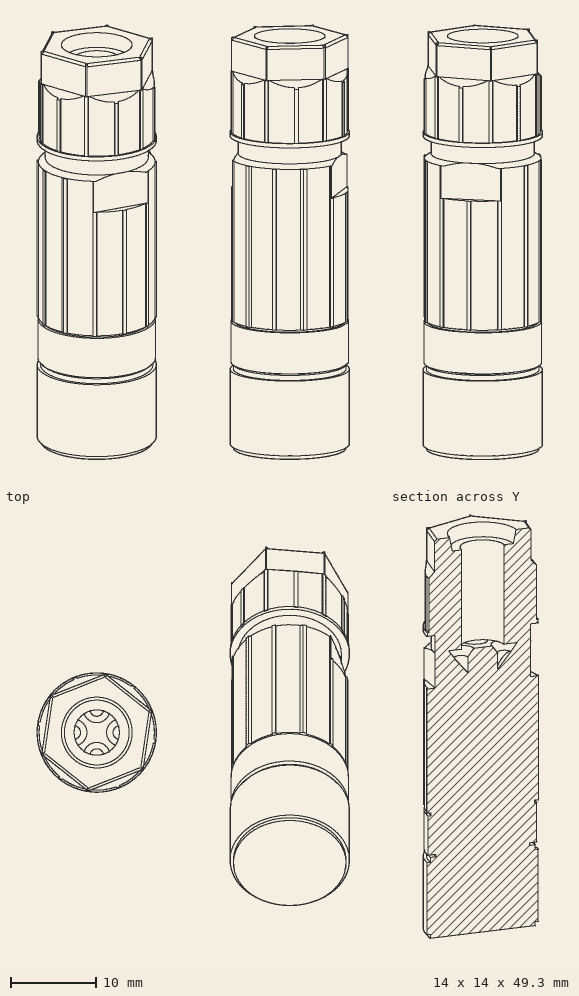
import cadquery as cq
import math

TOTAL_HEIGHT = 49.29
FOOT_TOP = 0.5
SLEEVE_TOP = 9.45
LIP_TOP = 10.05
RING_BOTTOM = 10.3
RING_TOP = 15.2
BODY_BOTTOM = 15.5
BODY_TOP = 34.75
NECK_BOTTOM = 35.25
COLLAR_BOTTOM = 37.35
COLLAR_TOP = 37.85
HEX_BOTTOM = 45.28

OUTER_RADIUS = 7.0
LIP_RADIUS = 6.6
RING_RADIUS = 6.9
LOWER_GROOVE_RADIUS = 5.9
UPPER_GROOVE_RADIUS = 6.5
NECK_RADIUS = 6.05
RIB_HEIGHT = 0.15
BODY_RADIUS = OUTER_RADIUS - RIB_HEIGHT
NUT_RIB_RADIUS = 6.9
NUT_RADIUS = NUT_RIB_RADIUS - RIB_HEIGHT

RIB_COUNT = 12
RIB_PITCH = 360 / RIB_COUNT
RIB_WIDTH = 0.45

FLAT_DISTANCE = 6.0
FLAT_BOTTOM = 30.9

RING_FLAT_WIDTH = 2.8
RING_FLAT_ANGLE = 175.4

NUT_TURN = -8.4
HEX_SIDES = 6
HEX_PITCH = 360 / HEX_SIDES
HALF_SECTOR = math.radians(HEX_PITCH / 2)
HEX_APOTHEM = 6.0
HEX_CORNER_BREAK = 0.1
CORNER_WIDTH = 2 * HEX_CORNER_BREAK * math.cos(HALF_SECTOR)
HEX_TOP_CHAMFER = 0.3
SHOULDER_DROP = 0.95

ENTRY_TOP_RADIUS = 4.15
ENTRY_FLOOR_RADIUS = 3.8
ENTRY_DEPTH = 1.7
BORE_RADIUS = 2.65
BORE_FLOOR = NECK_BOTTOM
WIRE_HOLE_COUNT = 4
WIRE_HOLE_OFFSET = 2.7
WIRE_HOLE_RADIUS = 0.8
WIRE_FUNNEL_RADIUS = 1.55
WIRE_FUNNEL_DEPTH = 1.0
WIRE_FLOOR_TILT = 50


def turned(profile):
    """Revolve (radius, height) points, closed along the axis, about Z."""
    return cq.Workplane("XZ").polyline(profile).close().revolve(360, (0, 0), (0, 1))


def prism(points, bottom, top):
    return cq.Workplane("XY").workplane(offset=bottom).polyline(points).close().extrude(top - bottom)


def disc(radius, bottom, top):
    return cq.Workplane("XY").workplane(offset=bottom).circle(radius).extrude(top - bottom)


def rib(angle, tip_radius, bottom, top, width=RIB_WIDTH):
    """Straight rib with parallel sides, reaching out from the axis along the given angle."""
    bar = cq.Workplane("XY").box(tip_radius, width, top - bottom, centered=(False, True, False))
    return bar.translate((0, 0, bottom)).rotate((0, 0, 0), (0, 0, 1), angle)


def make_core():
    """Everything below the nut, as one stack of steps."""
    return turned([
        (0, 0), (LIP_RADIUS, 0), (LIP_RADIUS, FOOT_TOP),
        (OUTER_RADIUS, FOOT_TOP), (OUTER_RADIUS, SLEEVE_TOP),
        (LIP_RADIUS, SLEEVE_TOP), (LIP_RADIUS, LIP_TOP),
        (LOWER_GROOVE_RADIUS, LIP_TOP), (LOWER_GROOVE_RADIUS, RING_BOTTOM),
        (RING_RADIUS, RING_BOTTOM), (RING_RADIUS, RING_TOP),
        (UPPER_GROOVE_RADIUS, RING_TOP), (UPPER_GROOVE_RADIUS, BODY_BOTTOM),
        (BODY_RADIUS, BODY_BOTTOM), (BODY_RADIUS, BODY_TOP),
        (NECK_RADIUS, NECK_BOTTOM), (NECK_RADIUS, COLLAR_BOTTOM),
        (0, COLLAR_BOTTOM),
    ])


def add_body_ribs(part):
    for i in range(RIB_COUNT):
        part = part.union(rib(i * RIB_PITCH, OUTER_RADIUS, BODY_BOTTOM, BODY_TOP))
    return part


def add_rib_ledges(part):
    """Fill the corners between the ribs beside the +Y and -Y ribs and the body, leaving faces square to Y."""
    angle = math.radians(90 - RIB_PITCH)
    corner_x = OUTER_RADIUS * math.cos(angle) - RIB_WIDTH / 2 * math.sin(angle)
    corner_y = OUTER_RADIUS * math.sin(angle) + RIB_WIDTH / 2 * math.cos(angle)
    meeting_x = math.sqrt(BODY_RADIUS ** 2 - corner_y ** 2)
    for side_x in (-1, 1):
        for side_y in (-1, 1):
            ledge = prism(
                [
                    (0, 0),
                    (side_x * corner_x, side_y * corner_y),
                    (side_x * meeting_x, side_y * corner_y),
                ],
                BODY_BOTTOM,
                BODY_TOP,
            )
            part = part.union(ledge)
    return part


def cut_wrench_flats(part):
    length = 2 * OUTER_RADIUS
    height = NECK_BOTTOM - FLAT_BOTTOM
    for side in (-1, 1):
        cutter = cq.Workplane("XY").box(length, length, height, centered=(True, True, False))
        part = part.cut(cutter.translate((side * (FLAT_DISTANCE + length / 2), 0, FLAT_BOTTOM)))
    return part


def cut_ring_flat(part):
    chord_distance = math.sqrt(RING_RADIUS ** 2 - (RING_FLAT_WIDTH / 2) ** 2)
    cutter = cq.Workplane("XY").box(
        OUTER_RADIUS, RING_FLAT_WIDTH * 2, RING_TOP - RING_BOTTOM, centered=(False, True, False)
    )
    cutter = cutter.translate((chord_distance, 0, RING_BOTTOM))
    return part.cut(cutter.rotate((0, 0, 0), (0, 0, 1), RING_FLAT_ANGLE))


def make_hexagon(apothem, bottom, top):
    corner_diameter = 2 * apothem / math.cos(HALF_SECTOR)
    hexagon = cq.Workplane("XY").polygon(HEX_SIDES, corner_diameter).extrude(top - bottom)
    return hexagon.rotate((0, 0, 0), (0, 0, 1), HEX_PITCH / 2).translate((0, 0, bottom))


def bevel_six_sides(solid, apothem, top, slope):
    """Cut six planes that fall outwards by the slope from hexagon lines at the top height."""
    reach = OUTER_RADIUS - apothem
    wedge = (
        cq.Workplane("XZ")
        .polyline([(apothem, top), (OUTER_RADIUS, top), (OUTER_RADIUS, top - reach * slope)])
        .close()
        .extrude(OUTER_RADIUS, both=True)
    )
    for i in range(HEX_SIDES):
        solid = solid.cut(wedge.rotate((0, 0, 0), (0, 0, 1), i * HEX_PITCH))
    return solid


def make_nut():
    """Ribbed nut with a hexagonal head, its collar, and a narrow strip on each hexagon corner."""
    nut = disc(NUT_RADIUS, COLLAR_TOP, HEX_BOTTOM)
    for i in range(RIB_COUNT):
        nut = nut.union(rib(i * RIB_PITCH, NUT_RIB_RADIUS, COLLAR_TOP, HEX_BOTTOM))

    facet_width = NUT_RIB_RADIUS - HEX_APOTHEM
    nut = bevel_six_sides(nut, HEX_APOTHEM, HEX_BOTTOM, SHOULDER_DROP / facet_width)

    head = make_hexagon(HEX_APOTHEM, HEX_BOTTOM, TOTAL_HEIGHT)
    head = head.edges("|Z").chamfer(HEX_CORNER_BREAK)
    head = bevel_six_sides(head, HEX_APOTHEM - HEX_TOP_CHAMFER, TOTAL_HEIGHT, 1)

    corner_radius = HEX_APOTHEM / math.cos(HALF_SECTOR) - HEX_CORNER_BREAK * math.sin(HALF_SECTOR)
    for i in range(HEX_SIDES):
        corner_angle = HEX_PITCH / 2 + i * HEX_PITCH
        strip = rib(corner_angle, corner_radius, HEX_BOTTOM, TOTAL_HEIGHT, CORNER_WIDTH)
        head = head.union(strip)

    collar = disc(OUTER_RADIUS, COLLAR_BOTTOM, COLLAR_TOP)
    return nut.union(head).union(collar).rotate((0, 0, 0), (0, 0, 1), NUT_TURN)


def make_entry():
    """Tapered mouth and the bore below it."""
    mouth_floor = TOTAL_HEIGHT - ENTRY_DEPTH
    return turned([
        (0, BORE_FLOOR), (BORE_RADIUS, BORE_FLOOR), (BORE_RADIUS, mouth_floor),
        (ENTRY_FLOOR_RADIUS, mouth_floor), (ENTRY_TOP_RADIUS, TOTAL_HEIGHT), (0, TOTAL_HEIGHT),
    ])


def cut_wire_holes(part):
    """Funnelled holes in the bore floor, each ending in a flat floor tilted towards the axis."""
    funnel_bottom = BORE_FLOOR - WIRE_FUNNEL_DEPTH
    hole_bottom = funnel_bottom - 2 * WIRE_HOLE_RADIUS * math.tan(math.radians(WIRE_FLOOR_TILT))
    hole = turned([
        (0, hole_bottom), (WIRE_HOLE_RADIUS, hole_bottom), (WIRE_HOLE_RADIUS, funnel_bottom),
        (WIRE_FUNNEL_RADIUS, BORE_FLOOR), (0, BORE_FLOOR),
    ])
    tilted_floor = (
        cq.Workplane("XZ")
        .polyline([
            (-WIRE_HOLE_RADIUS, hole_bottom),
            (WIRE_HOLE_RADIUS, hole_bottom),
            (WIRE_HOLE_RADIUS, funnel_bottom),
        ])
        .close()
        .extrude(WIRE_HOLE_RADIUS, both=True)
    )
    hole = hole.cut(tilted_floor).translate((WIRE_HOLE_OFFSET, 0, 0))
    for i in range(WIRE_HOLE_COUNT):
        part = part.cut(hole.rotate((0, 0, 0), (0, 0, 1), i * 360 / WIRE_HOLE_COUNT))
    return part


part = make_core()
part = add_body_ribs(part)
part = add_rib_ledges(part)
part = cut_wrench_flats(part)
part = cut_ring_flat(part)
part = part.union(make_nut())
part = part.cut(make_entry())
result = cut_wire_holes(part)